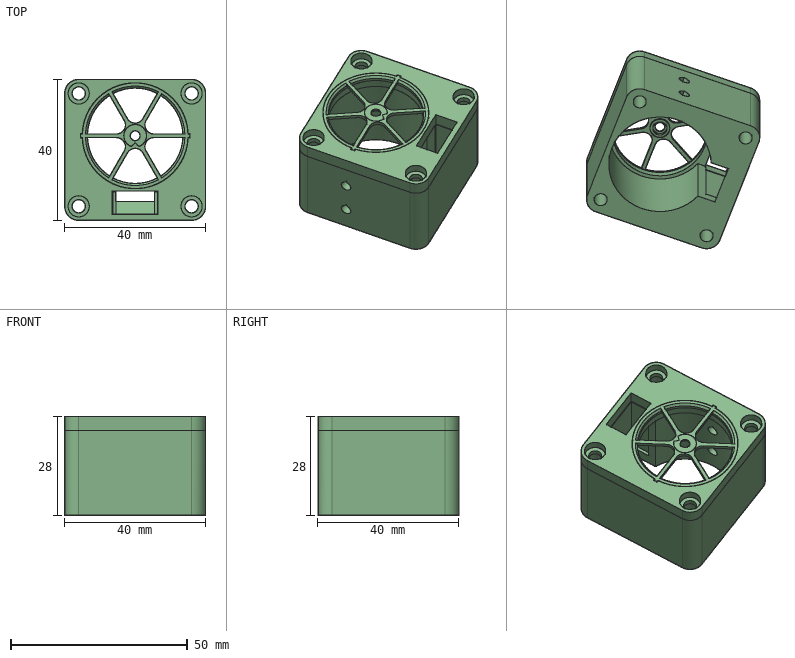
import cadquery as cq
import math

SIDE = 40.0
CORNER_RADIUS = 4.0
HOUSING_HEIGHT = 24.0
LID_HEIGHT = 4.0
TOP_Z = HOUSING_HEIGHT + LID_HEIGHT

SCREW_OFFSET = SIDE / 2 - CORNER_RADIUS
SCREW_HOLE_DIAMETER = 3.7
SCREW_HEAD_DIAMETER = 6.0
SCREW_HEAD_DEPTH = 2.5

AXIS_Y = 4.0
CHAMBER_DIAMETER = 29.0
OPENING_DIAMETER = 27.0

GAP = 0.1
SEAT_DIAMETER = 30.1
GRILLE_DIAMETER = SEAT_DIAMETER - 2 * GAP
RIM_HEIGHT = 1.5
RIM_CHAMFER = 0.6
SPOKE_COUNT = 6
SPOKE_WIDTH = 1.1
SPOKE_HEIGHT = 1.0
SPOKE_FILLET = 2.5
SPOKE_PITCH = 360 / SPOKE_COUNT

NOTCH_REACH = 15.55
NOTCH_WIDTH = 1.2
LUG_REACH = NOTCH_REACH - GAP / 2
LUG_WIDTH = NOTCH_WIDTH - 2 * GAP

DISC_DIAMETER = 6.4
DISC_THICKNESS = SPOKE_HEIGHT / 2
DISC_POCKET_DIAMETER = DISC_DIAMETER + GAP
SHAFT_HOLE_DIAMETER = 2.7
KEY_TIP_RADIUS = 2.0
BOSS_DIAMETER = 5.6
BOSS_HOLE_DIAMETER = 4.0

WINDOW_WIDTH = 13.0
WINDOW_BACK_Y = -11.7
WINDOW_FRONT_Y = -18.35
BAY_INSET = 0.15
BAY_FLOOR_Z = 3.6
CHUTE_WIDTH = 10.9

TEARDROP_DIAMETER = 3.0
TEARDROP_PEAK = 2.0
TEARDROP_HEIGHTS = (7.0, 17.0)


def cylinder(diameter, bottom, top):
    """Upright cylinder on the chamber axis."""
    return cq.Workplane("XY", origin=(0, AXIS_Y, bottom)).circle(diameter / 2).extrude(top - bottom)


def block(x_range, y_range, z_range):
    """Box between two limits on each axis."""
    limits = (x_range, y_range, z_range)
    sizes = [high - low for low, high in limits]
    return cq.Workplane("XY").box(*sizes, centered=False).translate([low for low, high in limits])


def rounded_slab(bottom, height):
    """Square slab with rounded corners and the four screw holes through it."""
    slab = cq.Workplane("XY", origin=(0, 0, bottom)).rect(SIDE, SIDE).extrude(height)
    slab = slab.edges("|Z").fillet(CORNER_RADIUS)
    return slab.cut(screw_cylinders(SCREW_HOLE_DIAMETER, bottom, height))


def screw_cylinders(diameter, bottom, height):
    """One upright cylinder at each screw position."""
    plane = cq.Workplane("XY", origin=(0, 0, bottom))
    corners = plane.rect(2 * SCREW_OFFSET, 2 * SCREW_OFFSET, forConstruction=True).vertices()
    return corners.circle(diameter / 2).extrude(height)


def teardrop_hole(z):
    """Horizontal hole with a pointed top, from the -X face to the chamber axis."""
    radius = TEARDROP_DIAMETER / 2
    tangent_z = radius**2 / TEARDROP_PEAK
    tangent_y = math.sqrt(radius**2 - tangent_z**2)
    return (
        cq.Workplane("YZ", origin=(-SIDE / 2, AXIS_Y, z))
        .moveTo(-tangent_y, tangent_z)
        .threePointArc((0, -radius), (tangent_y, tangent_z))
        .lineTo(0, TEARDROP_PEAK)
        .close()
        .extrude(SIDE / 2)
    )


def window_bay():
    """Pocket under the window, with a 45 degree chute through its floor that opens to the chamber."""
    half_bay = WINDOW_WIDTH / 2 - BAY_INSET
    front_y = WINDOW_FRONT_Y + BAY_INSET
    back_y = WINDOW_BACK_Y - BAY_INSET
    pocket = block((-half_bay, half_bay), (front_y, back_y), (BAY_FLOOR_Z, HOUSING_HEIGHT))
    chute = (
        cq.Workplane("YZ")
        .polyline([
            (front_y, BAY_FLOOR_Z),
            (front_y + BAY_FLOOR_Z, 0),
            (AXIS_Y, 0),
            (AXIS_Y, HOUSING_HEIGHT),
            (front_y, HOUSING_HEIGHT),
        ])
        .close()
        .extrude(CHUTE_WIDTH / 2, both=True)
    )
    return pocket.union(chute)


def make_housing():
    housing = rounded_slab(0, HOUSING_HEIGHT)
    housing = housing.cut(cylinder(CHAMBER_DIAMETER, 0, HOUSING_HEIGHT))
    housing = housing.cut(window_bay())
    for z in TEARDROP_HEIGHTS:
        housing = housing.cut(teardrop_hole(z))
    return housing


def make_lid():
    lid = rounded_slab(HOUSING_HEIGHT, LID_HEIGHT)
    lid = lid.cut(screw_cylinders(SCREW_HEAD_DIAMETER, TOP_Z - SCREW_HEAD_DEPTH, SCREW_HEAD_DEPTH))
    lid = lid.cut(cylinder(OPENING_DIAMETER, HOUSING_HEIGHT, TOP_Z))

    seat_z = TOP_Z - RIM_HEIGHT
    lid = lid.cut(cylinder(SEAT_DIAMETER, seat_z, TOP_Z))
    notches = block(
        (-NOTCH_REACH, NOTCH_REACH),
        (AXIS_Y - NOTCH_WIDTH / 2, AXIS_Y + NOTCH_WIDTH / 2),
        (seat_z, TOP_Z),
    )
    lid = lid.cut(notches)

    window = block(
        (-WINDOW_WIDTH / 2, WINDOW_WIDTH / 2),
        (WINDOW_FRONT_Y, WINDOW_BACK_Y),
        (HOUSING_HEIGHT, TOP_Z),
    )
    return lid.cut(window)


def keyed_disc(diameter):
    """Disc at the top of the grille with a 90 degree V notch on its -Y side."""
    disc = cylinder(diameter, TOP_Z - DISC_THICKNESS, TOP_Z)
    reach = diameter / 2
    notch = (
        cq.Workplane("XY", origin=(0, AXIS_Y, TOP_Z - DISC_THICKNESS))
        .polyline([
            (0, -KEY_TIP_RADIUS),
            (reach, -KEY_TIP_RADIUS - reach),
            (-reach, -KEY_TIP_RADIUS - reach),
        ])
        .close()
        .extrude(DISC_THICKNESS)
    )
    return disc.cut(notch)


def spoke_opening():
    """Wedge between two neighbouring spokes, rounded at its inner corner and reaching past the rim."""
    half_pitch = math.radians(SPOKE_PITCH / 2)
    apex = SPOKE_WIDTH / 2 / math.sin(half_pitch)
    length = SEAT_DIAMETER
    half_end = (length - apex) * math.tan(half_pitch)
    return (
        cq.Workplane("XY", origin=(0, 0, TOP_Z - RIM_HEIGHT))
        .polyline([(apex, 0), (length, -half_end), (length, half_end)])
        .close()
        .extrude(RIM_HEIGHT)
        .edges("|Z and <X")
        .fillet(SPOKE_FILLET)
        .translate((0, AXIS_Y, 0))
    )


def rim_bore():
    """Bore of the grille rim, widened by a 45 degree chamfer at the top."""
    radius = OPENING_DIAMETER / 2
    return (
        cq.Workplane("XZ", origin=(0, AXIS_Y, 0))
        .polyline([
            (0, TOP_Z - RIM_HEIGHT),
            (radius, TOP_Z - RIM_HEIGHT),
            (radius, TOP_Z - RIM_CHAMFER),
            (radius + RIM_CHAMFER, TOP_Z),
            (0, TOP_Z),
        ])
        .close()
        .revolve(360, (0, 0, 0), (0, 1, 0))
    )


def make_rim():
    """Grille rim with a rounded lug at each end of the X diameter."""
    rim = cylinder(GRILLE_DIAMETER, TOP_Z - RIM_HEIGHT, TOP_Z)
    lugs = (
        cq.Workplane("XY", origin=(0, AXIS_Y, TOP_Z - RIM_HEIGHT))
        .slot2D(2 * LUG_REACH, LUG_WIDTH)
        .extrude(RIM_HEIGHT)
    )
    return rim.union(lugs).cut(rim_bore())


def make_spokes():
    """Plate that fills the rim bore, thinner than the rim and cut into spokes."""
    spokes = rim_bore().intersect(cylinder(SEAT_DIAMETER, TOP_Z - SPOKE_HEIGHT, TOP_Z))
    opening = spoke_opening()
    for index in range(SPOKE_COUNT):
        angle = (index + 0.5) * SPOKE_PITCH
        spokes = spokes.cut(opening.rotate((0, AXIS_Y, 0), (0, AXIS_Y, 1), angle))
    return spokes


def make_grille():
    bottom = TOP_Z - RIM_HEIGHT
    boss = cylinder(BOSS_DIAMETER, bottom, TOP_Z)
    grille = make_rim().union(make_spokes()).union(boss)
    grille = grille.cut(keyed_disc(DISC_POCKET_DIAMETER))
    return grille.cut(cylinder(BOSS_HOLE_DIAMETER, bottom, TOP_Z - DISC_THICKNESS))


def make_disc():
    disc = keyed_disc(DISC_DIAMETER)
    return disc.cut(cylinder(SHAFT_HOLE_DIAMETER, TOP_Z - DISC_THICKNESS, TOP_Z))


housing = make_housing()
lid = make_lid()
grille = make_grille()
disc = make_disc()

result = cq.Compound.makeCompound([housing.val(), lid.val(), grille.val(), disc.val()])